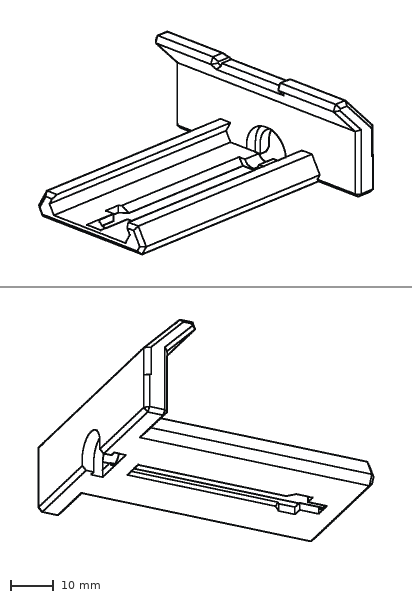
import cadquery as cq
import math


plate_width = 60.0
plate_thickness = 6.0
total_height = 26.0
total_length = 65.5
back_bend_height = 16.65
lip_thickness = 4.0
lip_tip_chamfer = 2.4
edge_chamfer = 1.0
relief_bottom = 9.5
relief_depth = edge_chamfer * math.sqrt(2)

notch_half_width = 9.9
notch_drop = 1.9
notch_chamfer = 1.1

flank_slope = math.tan(math.radians(60))
rail_half_width = 17.5
rail_widest_height = 2.4
rail_height = 6.9
floor_thickness = 1.9
rail_inner_half_width = 11.65
undercut_height = (floor_thickness + rail_height) / 2
undercut_half_width = rail_inner_half_width + (undercut_height - floor_thickness) / flank_slope
rail_bottom_half_width = rail_half_width - rail_widest_height / flank_slope
rail_top_half_width = rail_half_width - (rail_height - rail_widest_height) / flank_slope
rail_root = plate_thickness / 2

bolt_axis_height = 2.9
bore_radius = 4.85
counterbore_radius = 6.4
counterbore_depth = 3.0
shank_radius = 2.5
shank_end = 64.1

slot_start = 10.8
slot_top_half_width = 4.2
slot_bottom_half_width = 2.9
flare_start = 49.2
window_start = 50.9
window_end = 55.1
window_half_width = bore_radius
tail_end = 60.0
tail_half_width = 2.25

clearance = 1.0


def mirrored(outline):
    """Close a right-hand outline of (x, other) points with its mirror image about x = 0."""
    return outline + [(-x, other) for x, other in reversed(outline)]


def lip_profile(drop):
    """Side outline of plate and lip, the lip cut short so that its top is lowered by drop."""
    top = total_height - drop
    back_top = top - back_bend_height
    front_top = back_top + lip_thickness * math.sqrt(2)
    front_bend_height = top - (front_top - plate_thickness)
    tip_step = lip_tip_chamfer / math.sqrt(2)
    outline = [
        (0, 0),
        (0, back_bend_height),
        (-back_top, top),
        (-front_top + lip_tip_chamfer, top),
        (-front_top + tip_step, top - tip_step),
        (-plate_thickness, front_bend_height),
        (-plate_thickness, 0),
    ]
    return cq.Workplane("YZ").polyline(outline).close()


def plate():
    """Bent plate with chamfered ends and bottom edges."""
    body = lip_profile(0).extrude(plate_width / 2, both=True)
    return body.faces("<X or >X or <Z").edges().chamfer(edge_chamfer)


def back_relief():
    """Deeper corner chamfer on both back edges, just below the bend."""
    relief = cq.Workplane("XY")
    for side in (-1, 1):
        corner = side * plate_width / 2
        wedge = [(corner, 0), (corner - side * edge_chamfer, 0), (corner, -relief_depth)]
        prism = cq.Workplane("XY").workplane(offset=relief_bottom).polyline(wedge).close()
        relief = relief.add(prism.extrude(back_bend_height - relief_bottom))
    return relief


def notched_plate():
    """Plate whose lip is shortened in the middle, the wing ends beside the notch chamfered."""
    full = lip_profile(0).extrude(notch_half_width, both=True)
    short = lip_profile(notch_drop).extrude(notch_half_width, both=True)
    body = plate().cut(full.cut(short))
    for side in (-1, 1):
        wall_x = side * notch_half_width
        wall_box = cq.selectors.BoxSelector(
            (wall_x - edge_chamfer / 2, -total_length, back_bend_height),
            (wall_x + edge_chamfer / 2, 0, total_height),
        )
        wall_edges = body.faces(wall_box).edges()
        by_reach = wall_edges.sort(lambda edge: edge.Center().z - edge.Center().y)
        body = by_reach[-3:].chamfer(notch_chamfer)
    return body.cut(back_relief())


def along_y(outline, start, end):
    """Prism with the given X-Z outline between two stations."""
    section = cq.Workplane("XZ", origin=(0, -start, 0)).polyline(mirrored(outline)).close()
    return section.extrude(end - start)


def through_floor(outline):
    """Upright cutter through the floor; the outline lists half widths and stations."""
    plan = [(x, -station) for x, station in mirrored(outline)]
    base = cq.Workplane("XY").workplane(offset=-clearance).polyline(plan).close()
    return base.extrude(floor_thickness + 2 * clearance)


def rails():
    """Floor with a dovetail rail on each side, chamfered around the outside of its front end."""
    outside = [
        (rail_bottom_half_width, 0),
        (rail_half_width, rail_widest_height),
        (rail_top_half_width, rail_height),
    ]
    channel = [
        (rail_inner_half_width, floor_thickness),
        (undercut_half_width, undercut_height),
        (rail_inner_half_width, rail_height),
        (rail_inner_half_width, rail_height + clearance),
    ]
    block = along_y(outside, rail_root, total_length).faces("<Y").edges().chamfer(edge_chamfer)
    return block.cut(along_y(channel, plate_thickness, total_length + clearance))


def bore(radius, start, end):
    """Cylinder on the bolt axis between two stations."""
    circle = cq.Workplane("XZ", origin=(0, -start, bolt_axis_height)).circle(radius)
    return circle.extrude(end - start)


def open_bore(radius, start, end):
    """Arched opening: round above the bolt axis, straight-sided and open to the underside below it."""
    sides = [(radius, -clearance), (radius, bolt_axis_height)]
    return bore(radius, start, end).union(along_y(sides, start, end))


def bolt_passage():
    """Stepped arched opening through the plate and a shallow shank trough along the floor."""
    hole = open_bore(bore_radius, -clearance, plate_thickness)
    counterbore = open_bore(counterbore_radius, plate_thickness - counterbore_depth, plate_thickness)
    return hole.union(counterbore).union(bore(shank_radius, 0, shank_end))


def floor_slot():
    """Long slot with sloping sides, flaring into a wide window and a narrow tail."""
    slot = along_y(
        [(slot_bottom_half_width, 0), (slot_top_half_width, floor_thickness)],
        slot_start,
        window_end,
    )
    window = through_floor([
        (slot_bottom_half_width, flare_start),
        (window_half_width, window_start),
        (window_half_width, window_end),
    ])
    tail = through_floor([(tail_half_width, flare_start), (tail_half_width, tail_end)])
    return slot.union(window).union(tail)


result = notched_plate().union(rails()).cut(bolt_passage()).cut(floor_slot())